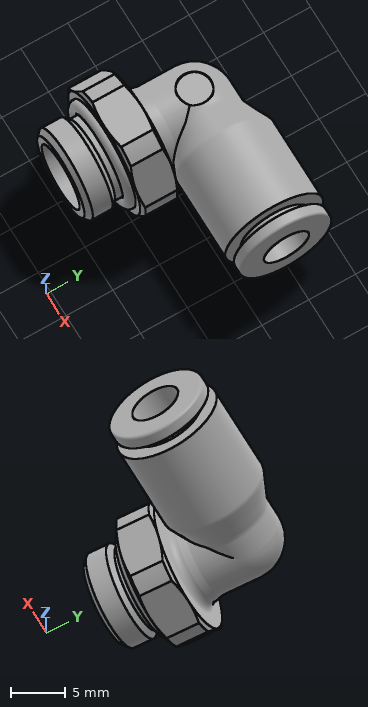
import cadquery as cq
import math


elbow_radius = 3.95
pad_radius = 1.75
pad_floor_z = 3.41

sleeve_radius = 5.25
cone_start = 2.38
cone_end = 5.4
cone_blend = 1.01
sleeve_end = 14.37
collet_neck_radius = 3.6
collet_radius = 4.95
collet_start = 15.21
collet_end = 16.55
collet_edge_fillet = 0.28

collar_start = 3.98
collar_end = 4.75
collar_radius = 4.15
hex_start = 5.68
hex_end = 9.65
hex_flats = 13.0
hex_corner_radius = 7.0
hex_chamfer_angle = 30.0
seal_centre_radius = 4.95
seal_section_radius = 0.75
seal_end = 10.48
thread_radius = 4.85
thread_chamfer = 0.57
undercut_end = 11.05
port_end = 14.3

bore_radius = 2.4
counterbore_radius = 3.41
counterbore_depth = 4.65


def cylinder_x(radius, start, end):
    return cq.Workplane("YZ").workplane(offset=start).circle(radius).extrude(end - start)


def cylinder_y(radius, start, end):
    """Cylinder on the port axis, from start to end along -Y."""
    return cq.Workplane("XZ").workplane(offset=start).circle(radius).extrude(end - start)


def revolve_about_y(profile):
    return profile.close().revolve(360, (0, 0, 0), (0, 1, 0))


def make_sleeve():
    """Tube arm from the elbow to the end of the sleeve, with blended cone edges."""
    cone_angle = math.atan2(sleeve_radius - elbow_radius, cone_end - cone_start)
    blend_length = cone_blend * math.tan(cone_angle / 2)
    along = blend_length * math.cos(cone_angle)
    across = blend_length * math.sin(cone_angle)
    half_along = cone_blend * math.sin(cone_angle / 2)
    half_across = cone_blend * (1 - math.cos(cone_angle / 2))
    blend_start = cone_start - blend_length
    blend_end = cone_end + blend_length
    profile = (
        cq.Workplane("XY")
        .lineTo(0, elbow_radius)
        .lineTo(blend_start, elbow_radius)
        .threePointArc(
            (blend_start + half_along, elbow_radius + half_across),
            (cone_start + along, elbow_radius + across),
        )
        .lineTo(cone_end - along, sleeve_radius - across)
        .threePointArc(
            (blend_end - half_along, sleeve_radius - half_across),
            (blend_end, sleeve_radius),
        )
        .lineTo(sleeve_end, sleeve_radius)
        .lineTo(sleeve_end, 0)
        .close()
    )
    return profile.revolve(360, (0, 0, 0), (1, 0, 0))


def make_collet():
    """Release collet: a neck and a flange with rounded rims."""
    neck = cylinder_x(collet_neck_radius, sleeve_end, collet_start)
    flange = cylinder_x(collet_radius, collet_start, collet_end)
    flange = flange.edges("%CIRCLE").fillet(collet_edge_fillet)
    return neck.union(flange)


def make_shank():
    """Elbow leg flaring through a slight cone and a concave fillet onto the hexagon."""
    flare = hex_start - collar_end
    flare_bulge = flare * (1 - math.sqrt(0.5))
    return revolve_about_y(
        cq.Workplane("XY")
        .lineTo(elbow_radius, 0)
        .lineTo(elbow_radius, -collar_start)
        .lineTo(collar_radius, -collar_end)
        .threePointArc(
            (collar_radius + flare_bulge, -hex_start + flare_bulge),
            (collar_radius + flare, -hex_start),
        )
        .lineTo(0, -hex_start)
    )


def make_hexagon():
    """Hexagon with corners on +X and -X, turned and chamfered on both faces."""
    across_corners = hex_flats / math.cos(math.radians(30))
    face_radius = hex_flats / 2
    drop = (hex_corner_radius - face_radius) * math.tan(math.radians(hex_chamfer_angle))
    prism = (
        cq.Workplane("XZ")
        .workplane(offset=hex_start)
        .polygon(6, across_corners)
        .extrude(hex_end - hex_start)
    )
    turned = revolve_about_y(
        cq.Workplane("XY")
        .moveTo(0, -hex_start)
        .lineTo(face_radius, -hex_start)
        .lineTo(hex_corner_radius, -hex_start - drop)
        .lineTo(hex_corner_radius, -hex_end + drop)
        .lineTo(face_radius, -hex_end)
        .lineTo(0, -hex_end)
    )
    return prism.intersect(turned)


def make_seal():
    """O-ring seated against the hexagon."""
    return (
        cq.Workplane("XY")
        .center(seal_centre_radius, -seal_end + seal_section_radius)
        .circle(seal_section_radius)
        .revolve(360, (-seal_centre_radius, 0, 0), (-seal_centre_radius, 1, 0))
    )


def make_thread():
    """Plain thread envelope with chamfered ends, behind it the undercut."""
    undercut_radius = thread_radius - thread_chamfer
    undercut = cylinder_y(undercut_radius, hex_end, undercut_end)
    thread = cylinder_y(thread_radius, undercut_end, port_end)
    return undercut.union(thread.edges("%CIRCLE").chamfer(thread_chamfer))


def make_passage():
    """Bore through both arms, rounded at the elbow, with a wider port mouth."""
    port_bore = cylinder_y(bore_radius, 0, port_end)
    tube_bore = cylinder_x(bore_radius, 0, collet_end)
    bend = cq.Workplane("XY").sphere(bore_radius)
    mouth = cylinder_y(counterbore_radius, port_end - counterbore_depth, port_end)
    return port_bore.union(tube_bore).union(bend).union(mouth)


def make_pad_recess():
    depth = elbow_radius - pad_floor_z
    return cq.Workplane("XY").workplane(offset=pad_floor_z).circle(pad_radius).extrude(depth)


result = (
    cq.Workplane("XY")
    .sphere(elbow_radius)
    .union(make_sleeve())
    .union(make_collet())
    .union(make_shank())
    .union(make_hexagon())
    .union(make_seal())
    .union(make_thread())
    .cut(make_passage())
    .cut(make_pad_recess())
)